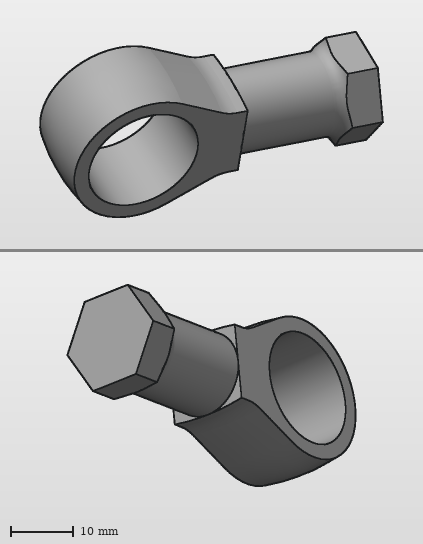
import cadquery as cq
import math

ring_radius = 12.65
bore_diameter = 19.05
width = 13.95
half_width = width / 2
crown_sag = 0.6

neck_end = 17.45
neck_slope = math.radians(26.5)
bend_radius = 5.75

shank_radius = half_width
shank_tilt = 7.7
head_across_corners = 17.95
head_flat_distance = head_across_corners / 2 * math.cos(math.radians(30))

overall_length = 54.55
tilt = math.radians(shank_tilt)
head_reach = overall_length - ring_radius - head_flat_distance * math.sin(tilt)
head_end = head_reach / math.cos(tilt)
flare_length = 7.75
flare_radius = 2.45

ring_tangent = (ring_radius * math.sin(neck_slope), ring_radius * math.cos(neck_slope))
neck_height = shank_radius
slope_meets_neck = (ring_radius - neck_height * math.cos(neck_slope)) / math.sin(neck_slope)
bend_start_y = slope_meets_neck + bend_radius * math.tan(neck_slope / 2)
bend_center_z = neck_height + bend_radius


def bend_point(angle):
    """Point on the concave bend, at an angle from its tangency with the neck."""
    return (
        bend_start_y - bend_radius * math.sin(angle),
        bend_center_z - bend_radius * math.cos(angle),
    )


def side_plane():
    """Plane of one flat side face, with its normal along +X."""
    return cq.Workplane("YZ", origin=(-half_width, 0, 0))


def ring():
    """Barrel-shaped ring blank, revolved about X."""
    edge_radius = ring_radius - crown_sag
    return (
        cq.Workplane("XY")
        .moveTo(-half_width, 0)
        .lineTo(-half_width, edge_radius)
        .threePointArc((0, ring_radius), (half_width, edge_radius))
        .lineTo(half_width, 0)
        .close()
        .revolve(360, (0, 0, 0), (1, 0, 0))
    )


def upper_edge(workplane):
    """Open outline of the upper neck edge, from the neck end to the ring."""
    return (
        workplane
        .moveTo(neck_end, neck_height)
        .lineTo(*bend_point(0))
        .threePointArc(bend_point(neck_slope / 2), bend_point(neck_slope))
        .lineTo(*ring_tangent)
    )


def crown_cutter():
    """Material outside the crowned upper neck edge, swept along that edge."""
    margin = 0.55
    crown_radius = (half_width**2 + crown_sag**2) / (2 * crown_sag)
    cut_half_width = half_width + margin
    edge_sag = crown_radius - math.sqrt(crown_radius**2 - cut_half_width**2)
    section = (
        cq.Workplane("XZ", origin=(0, neck_end, neck_height))
        .moveTo(-cut_half_width, -edge_sag)
        .threePointArc((0, 0), (cut_half_width, -edge_sag))
        .lineTo(cut_half_width, margin)
        .lineTo(-cut_half_width, margin)
        .close()
    )
    return section.sweep(upper_edge(cq.Workplane("YZ")))


def neck():
    """Neck blending the shank into the ring, crowned above and below."""
    upper_half = (
        upper_edge(side_plane())
        .lineTo(0, 0)
        .lineTo(neck_end, 0)
        .close()
        .extrude(width)
        .cut(crown_cutter())
    )
    return upper_half.union(upper_half.mirror("XY"))


def shank_and_head():
    """Round shank flaring into a hexagonal head with flats above and below."""
    flare_start = head_end - flare_length
    flare_end = flare_start + flare_radius
    flange_radius = shank_radius + flare_radius
    flare_offset = flare_radius * math.sqrt(0.5)
    flare_middle = (flange_radius - flare_offset, flare_start + flare_offset)
    turned = (
        cq.Workplane("XY")
        .moveTo(0, neck_end)
        .lineTo(shank_radius, neck_end)
        .lineTo(shank_radius, flare_start)
        .threePointArc(flare_middle, (flange_radius, flare_end))
        .lineTo(flange_radius, head_end)
        .lineTo(0, head_end)
        .close()
        .revolve(360, (0, 0, 0), (0, 1, 0))
    )
    hexagon = (
        cq.Workplane("XZ", origin=(0, head_end, 0))
        .polygon(6, head_across_corners)
        .extrude(head_end - neck_end)
    )
    return turned.intersect(hexagon)


bore = side_plane().circle(bore_diameter / 2).extrude(width)
level_part = ring().union(neck()).union(shank_and_head()).cut(bore)
result = level_part.rotate((0, 0, 0), (1, 0, 0), -shank_tilt)